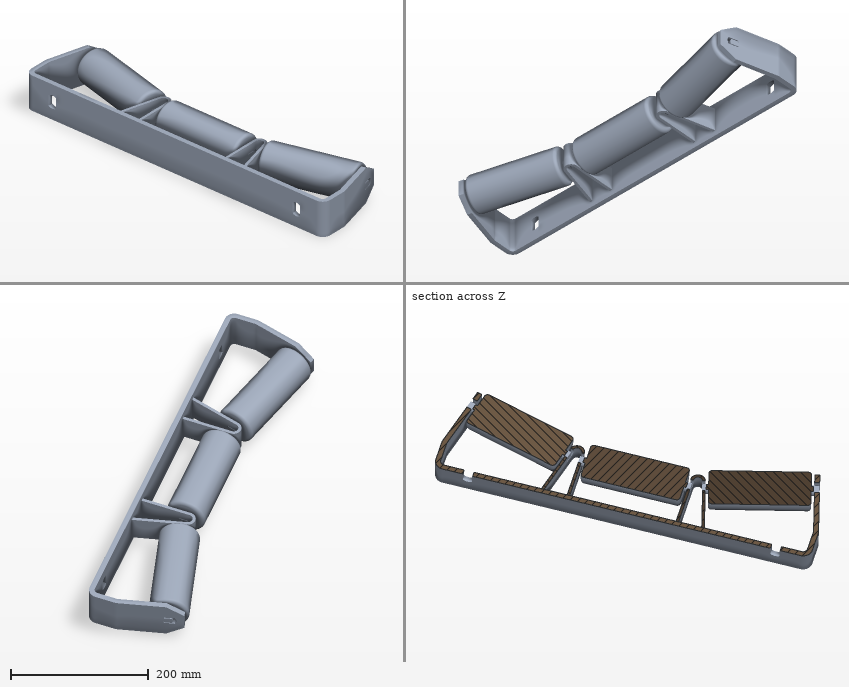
import cadquery as cq
import math

frame_length = 570.0
overall_depth = 144.0
frame_height = 60.0
tilt = 15.0

frame_thickness = 8.0
frame_bend_radius = 14.0
arm_bend_y = 44.5
tip_y = 143.0
tip_width = 27.0
tip_taper_length = 27.0

mount_spacing = 465.0
mount_width = 14.0
mount_height = 23.0

roller_diameter = 60.0
roller_length = 150.0
roller_rounding = 5.0
middle_roller_y = 72.5
end_gap = 5.0
shaft_diameter = 15.0
flat_width = 9.0
shoulder_length = 3.5

shaft_slot_width = 12.0
shaft_slot_length = 20.0

bracket_height = 40.0
bracket_thickness = 4.5
bracket_bend_radius = 11.5
bracket_bend_y = 83.0

half_length = frame_length / 2
frame_bend_x = half_length - frame_bend_radius
frame_inner_radius = frame_bend_radius - frame_thickness
bracket_inner_radius = bracket_bend_radius - bracket_thickness
bracket_inside_x = roller_length / 2 + end_gap
bracket_bend_x = bracket_inside_x + bracket_bend_radius

cos_tilt = math.cos(math.radians(tilt))
sin_tilt = math.sin(math.radians(tilt))


def tilted_distance(x, y):
    """Distance from the origin along the axis direction of the right roller."""
    return x * cos_tilt + y * sin_tilt


def point_at(center, radius, angle):
    """Point at a radius and an angle from +X about a centre."""
    turn = math.radians(angle)
    return center[0] + radius * math.cos(turn), center[1] + radius * math.sin(turn)


def arm_point(start, y):
    """Point at height y on the line that leaves start along a tilted arm."""
    return start[0] - (y - start[1]) * sin_tilt / cos_tilt, y


arm_inner_face = tilted_distance(frame_bend_x, arm_bend_y) + frame_inner_radius
arm_outer_face = arm_inner_face + frame_thickness
leg_outer_face = tilted_distance(bracket_bend_x, bracket_bend_y) + bracket_bend_radius
outer_roller_distance = (arm_inner_face + leg_outer_face) / 2
rounded_corner_x = roller_length / 2 - roller_rounding
rounded_corner_y = roller_diameter / 2 - roller_rounding
outer_roller_top = rounded_corner_x * sin_tilt + rounded_corner_y * cos_tilt + roller_rounding
outer_roller_y = overall_depth - outer_roller_top
outer_roller_x = (outer_roller_distance - outer_roller_y * sin_tilt) / cos_tilt

middle_shaft_reach = bracket_inside_x + bracket_thickness
outer_shaft_inner_reach = outer_roller_distance - leg_outer_face + bracket_thickness
outer_shaft_outer_reach = arm_outer_face - outer_roller_distance


def place(shape, x, y, angle):
    return shape.rotate((0, 0, 0), (0, 0, 1), angle).translate((x, y, 0))


def round_ended_slot(plane, length, width, depth):
    """Bar along the plane normal: a circle of the slot length cut to its width."""
    bar = cq.Workplane(plane).circle(length / 2).extrude(depth, both=True)
    flats = cq.Workplane(plane).rect(length, width).extrude(depth, both=True)
    return bar.intersect(flats).clean()


def shaft_slot(x, y, angle):
    """Cutter along a roller axis; the shaft rests on the lower end of the slot."""
    lift = (shaft_slot_length - shaft_diameter) / 2
    reach = roller_length / 2 + 2 * frame_thickness
    slot = round_ended_slot("YZ", shaft_slot_length, shaft_slot_width, reach)
    return place(slot.translate((0, lift, 0)), x, y, angle)


def mount_slot(x):
    """Upright cutter through the frame's back."""
    upright = cq.Plane(origin=(x, 0, 0), xDir=(0, 0, 1), normal=(0, 1, 0))
    return round_ended_slot(upright, mount_height, mount_width, 2 * frame_thickness)


def frame_half():
    """Right half of the bent strip, from the middle of the back to the arm tip."""
    corner = (frame_bend_x, frame_bend_radius)
    elbow = (frame_bend_x, arm_bend_y)
    outer, inner = frame_bend_radius, frame_inner_radius
    arm_start = point_at(elbow, outer, tilt)
    tip_outer = arm_point(arm_start, tip_y)
    tip_inner = (tip_outer[0] - frame_thickness * cos_tilt, tip_outer[1] - frame_thickness * sin_tilt)
    half = (
        cq.Workplane("XY", origin=(0, 0, -frame_height / 2))
        .moveTo(0, 0)
        .lineTo(*point_at(corner, outer, -90))
        .threePointArc(point_at(corner, outer, -45), point_at(corner, outer, 0))
        .lineTo(*point_at(elbow, outer, 0))
        .threePointArc(point_at(elbow, outer, tilt / 2), arm_start)
        .lineTo(*tip_outer)
        .lineTo(*tip_inner)
        .lineTo(*point_at(elbow, inner, tilt))
        .threePointArc(point_at(elbow, inner, tilt / 2), point_at(elbow, inner, 0))
        .lineTo(*point_at(corner, inner, 0))
        .threePointArc(point_at(corner, inner, -45), point_at(corner, inner, -90))
        .lineTo(0, frame_thickness)
        .close()
        .extrude(frame_height)
    )
    for end in (-1, 1):
        half = half.cut(tip_corner(tip_outer, end))
    return half


def tip_corner(tip, end):
    """Triangular cutter for the upper or lower corner of an arm tip."""
    edge_z = end * frame_height / 2
    corner = (
        cq.Workplane("YZ")
        .polyline([(0, end * tip_width / 2), (0, edge_z), (-tip_taper_length, edge_z)])
        .close()
        .extrude(2 * frame_thickness, both=True)
    )
    return place(corner, *tip, tilt)


def make_frame():
    half = frame_half().cut(shaft_slot(outer_roller_x, outer_roller_y, tilt))
    frame = half.union(half.mirror("YZ"))
    for side in (-1, 1):
        frame = frame.cut(mount_slot(side * mount_spacing / 2))
    return frame


def make_bracket(side):
    """Hairpin strip: an upright leg by the middle roller, a tilted one by the outer."""
    bend = (bracket_bend_x, bracket_bend_y)
    outer, inner = bracket_bend_radius, bracket_inner_radius
    foot_y = frame_thickness

    def tilted_foot(radius):
        start = point_at(bend, radius, tilt)
        return start[0] + (start[1] - foot_y) * sin_tilt / cos_tilt, foot_y

    bracket = (
        cq.Workplane("XY", origin=(0, 0, -bracket_height / 2))
        .moveTo(bend[0] - outer, foot_y)
        .lineTo(*point_at(bend, outer, 180))
        .threePointArc(point_at(bend, outer, 90), point_at(bend, outer, tilt))
        .lineTo(*tilted_foot(outer))
        .lineTo(*tilted_foot(inner))
        .lineTo(*point_at(bend, inner, tilt))
        .threePointArc(point_at(bend, inner, 90), point_at(bend, inner, 180))
        .lineTo(bend[0] - inner, foot_y)
        .close()
        .extrude(bracket_height)
    )
    bracket = bracket.cut(shaft_slot(0, middle_roller_y, 0))
    bracket = bracket.cut(shaft_slot(outer_roller_x, outer_roller_y, tilt))
    return bracket if side > 0 else bracket.mirror("YZ")


def cylinder_along_x(diameter, length):
    return cq.Workplane("YZ", origin=(-length / 2, 0, 0)).circle(diameter / 2).extrude(length)


def make_roller(left_reach, right_reach):
    """Roller and shaft about X, with the shaft reaching out from the middle."""
    roller = cylinder_along_x(roller_diameter, roller_length).edges("%CIRCLE").fillet(roller_rounding)
    roller = roller.union(cylinder_along_x(shaft_diameter, roller_length + 2 * shoulder_length))
    for direction, reach in ((-1, left_reach), (1, right_reach)):
        shaft_end = cq.Workplane("YZ").circle(shaft_diameter / 2).extrude(direction * reach)
        flats = cq.Workplane("XY").box(2 * reach, shaft_diameter, flat_width)
        roller = roller.union(shaft_end.intersect(flats))
    return roller


frame = make_frame()
brackets = [make_bracket(side) for side in (-1, 1)]

outer_rollers = []
for side in (-1, 1):
    reaches = (outer_shaft_inner_reach, outer_shaft_outer_reach)[::side]
    roller = make_roller(*reaches)
    outer_rollers.append(place(roller, side * outer_roller_x, outer_roller_y, side * tilt))
middle_roller = make_roller(middle_shaft_reach, middle_shaft_reach).translate((0, middle_roller_y, 0))
rollers = [outer_rollers[0], middle_roller, outer_rollers[1]]

result = cq.Compound.makeCompound([body.val() for body in [frame, *brackets, *rollers]])